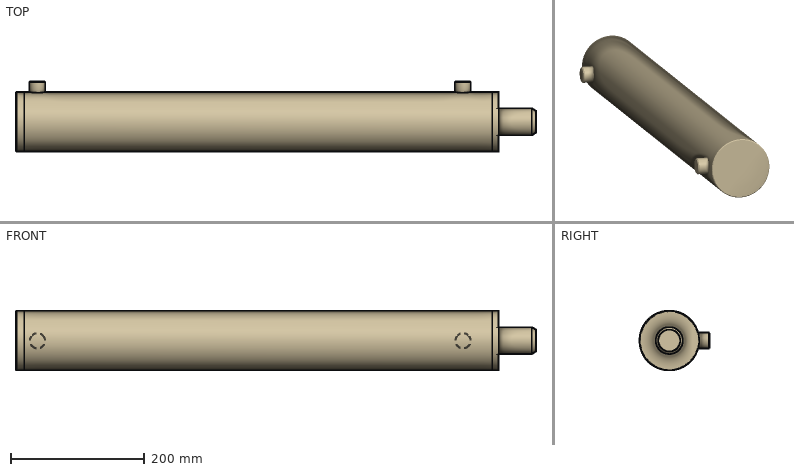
import cadquery as cq

total_length = 780.0
barrel_diameter = 90.0
cap_length = 12.5
gland_length = 9.0

rod_diameter = 40.5
rod_projection = 56.0
rod_chamfer_length = 6.0
rod_chamfer_depth = 4.0

port_diameter = 24.0
port_height = 15.5
port_chamfer = 1.5
port_inset_blind_end = 32.0
port_inset_rod_end = 54.0

rim_chamfer = 1.2

barrel_radius = barrel_diameter / 2
gland_end = total_length - rod_projection
gland_start = gland_end - gland_length
port_positions = [port_inset_blind_end, gland_end - port_inset_rod_end]


def x_cylinder(start, end, diameter):
    """Cylinder on the X axis between two X positions."""
    return cq.Workplane("YZ", origin=(start, 0, 0)).circle(diameter / 2).extrude(end - start)


def make_end_cap():
    """Disc closing the blind end, with a bevelled outer rim."""
    return x_cylinder(0, cap_length, barrel_diameter).faces("<X").chamfer(rim_chamfer)


def make_barrel():
    """Long body between the end cap and the gland."""
    return x_cylinder(cap_length, gland_start, barrel_diameter)


def make_gland():
    """Ring around the rod at the open end."""
    ring = x_cylinder(gland_start, gland_end, barrel_diameter)
    return ring.cut(x_cylinder(gland_start, gland_end, rod_diameter))


def make_rod():
    """Rod through the gland, with a chamfered free end."""
    rod = x_cylinder(gland_start, total_length, rod_diameter)
    return rod.faces(">X").edges().chamfer(rod_chamfer_length, rod_chamfer_depth)


def make_port(x_position):
    """Round boss whose foot is shaped to sit on the barrel."""
    boss_length = barrel_radius + port_height
    boss = (
        cq.Workplane("XZ", origin=(x_position, 0, 0))
        .circle(port_diameter / 2)
        .extrude(-boss_length)
        .faces(">Y")
        .chamfer(port_chamfer)
    )
    return boss.cut(make_barrel())


end_cap = make_end_cap()
barrel = make_barrel()
gland = make_gland()
rod = make_rod()
ports = [make_port(x_position) for x_position in port_positions]

result = cq.Compound.makeCompound(
    [
        end_cap.val(),
        barrel.val(),
        gland.val(),
        rod.val(),
        *[port.val() for port in ports],
    ]
)